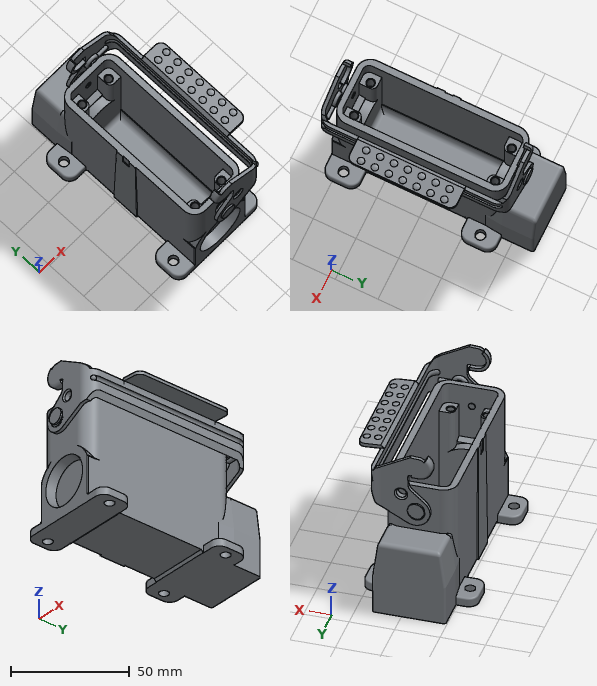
import cadquery as cq
import math

housing_width = 30.7
housing_length = 80.1
housing_height = 57.4
housing_corner_radius = 6.6
wall_side = 3.1
wall_end = 2.7
cavity_corner_radius = 3.0
cavity_floor = 4.0
floor_ledge = 0.3
floor_radius = 2.5
belly_height = 1.3
foot_spread = 45.2
foot_slope = 1.0

foot_width = 50.0
foot_length = 16.2
foot_thickness = 4.1
foot_corner_radius = 4.5
foot_edge_radius = 0.8
foot_hole_diameter = 4.6
foot_hole_x = 20.1
foot_hole_y = 32.0

entry_height = 17.4
entry_mouth_diameter = 24.0
entry_floor_diameter = 22.5
entry_depth = 5.0
entry_boss_radius = 16.0
entry_hump_diameter = 26.0
corner_block_height = 23.0
corner_block_depth = 6.6
corner_bevel = 0.4

block_end = 55.0
block_start = 32.0
block_half_width = 16.2
block_top_half_width = 13.8
block_height = 35.2
block_straight_height = 18.0
block_corner_radius = 1.2
block_edge_radius = 2.0
block_root_inset = 0.8

rib_top_width = 11.0
rib_foot_width = 13.2
rib_top_rise = 0.4
rib_foot_rise = 0.8
rib_notch_width = 3.6
rib_notch_height = 5.5

post_height = 47.6
post_inner_x = 5.7
post_inner_y = 29.8
post_corner_radius = 2.5
post_hole_diameter = 3.3
post_hole_mouth = 4.0
post_hole_depth = 10.0
post_hole_x = 8.0
post_hole_y = 33.0
wall_ramp_length = 3.0
wall_ramp_rise = 1.0

lever_half_length = 44.1
lever_reach = 21.3
sheet = 1.7
bend_radius = 6.0
lever_top = 74.1
strap_bottom = 53.0
strap_top = 63.1
pivot_x = 0.8
pivot_z = 46.9
pivot_eye_radius = 6.8
lower_edge_angle = 27.7
upper_edge_angle = 41.0
plate_peak_x = 2.8
bend_top_z = 67.2
strap_shoulder = (18.2, 65.3)
strap_heel = (18.4, 47.9)

throat_x = 2.2
throat_curve = (3.3, 58.7)
throat_curve_end = (3.6, 60.3)
throat_back = (3.8, 63.8)
throat_relief = (3.4, 64.7)

hook_x = -1.0
hook_z = 69.3
hook_radius = 5.8
hook_lip = 1.5
hook_depth = 3.6
hook_edge_radius = 1.3
hook_start_angle = 125.0
hook_tip_x = 2.2
hook_notch = (-2.4, 73.5)
hook_shoulder = (-1.4, 73.9)

bead_z = 58.5
bead_radius = 2.0
bead_setback = 0.3
bead_wrap_angle = 70.0
groove_radius = 1.3
groove_wrap_angle = 30.0

collar_x = 6.7
collar_z = 54.9
collar_diameter = 7.4
collar_hole_diameter = 4.4
collar_rise = 1.6
collar_edge_radius = 0.8
collar_mouth_bevel = 0.7
tail_end_x = 16.0
tail_height = 1.8
tail_edge_radius = 0.6

pin_z = 47.6
washer_z = 46.6
pin_recess_depth = 0.5
pin_head_diameter = 7.4
pin_neck_diameter = 4.4
pin_washer_diameter = 7.0
pin_tail_diameter = 3.0
pin_tip = 45.0
pin_neck_length = 0.5
pin_tail_projection = 0.4

handle_half_length = 25.1
handle_end = 31.5
handle_root_offset = 0.3
handle_root_top = 64.5
handle_end_top = 63.8
handle_corner_radius = 3.3
dimple_diameter = 3.3
dimple_rise = 0.4
dimple_columns = (24.0, 29.0)
dimple_rows = 7
dimple_pitch = 6.5

half_width = housing_width / 2
half_length = housing_length / 2
cavity_half_width = half_width - wall_side
cavity_half_length = half_length - wall_end
plate_inner = lever_half_length - sheet
bend_center_x = lever_reach - bend_radius
bend_center_y = lever_half_length - bend_radius


def box(x0, x1, y0, y1, z0, z1):
    """Box given by its limits along each axis."""
    return cq.Workplane("XY").box(x1 - x0, y1 - y0, z1 - z0, centered=False).translate((x0, y0, z0))


def rod(x, z, diameter, y0, y1):
    """Cylinder along Y between two Y positions."""
    return cq.Workplane("XZ", origin=(x, y0, z)).circle(diameter / 2).extrude(y0 - y1)


def profile_xz(points, y0, y1):
    """Straight-sided XZ outline extruded along Y."""
    return cq.Workplane("XZ", origin=(0, y0, 0)).polyline(points).close().extrude(y0 - y1)


def polar(x, z, radius, angle):
    """Point on a circle, angle in degrees."""
    a = math.radians(angle)
    return (x + radius * math.cos(a), z + radius * math.sin(a))


def both_ends(solid):
    """A solid together with its mirror image across the XZ plane."""
    return solid.union(solid.mirror("XZ"))


def make_shell():
    """Rounded housing body, solid."""
    return (
        cq.Workplane("XY")
        .rect(housing_width, housing_length)
        .extrude(housing_height)
        .edges("|Z")
        .fillet(housing_corner_radius)
    )


def make_feet():
    """Two cross bars with rounded, drilled ends."""
    bar = (
        cq.Workplane("XY")
        .center(0, half_length - foot_length / 2)
        .rect(foot_width, foot_length)
        .extrude(foot_thickness)
        .edges("|Z")
        .fillet(foot_corner_radius)
        .faces(">Z")
        .edges()
        .fillet(foot_edge_radius)
    )
    middle = box(-half_width, half_width, half_length - foot_length, half_length, 0, foot_thickness)
    return both_ends(bar.union(middle))


def make_entry_boss():
    """Square lower corners and round shoulder around the front cable entry."""
    y0 = -half_length
    y1 = y0 + corner_block_depth
    corners = box(-half_width, half_width, y0, y1, 0, corner_block_height)
    corners = corners.edges("|Z and <Y").chamfer(corner_bevel)
    shoulder = rod(0, entry_height, 2 * entry_boss_radius, y0, y1)
    face_half_width = half_width - corner_bevel
    limits = box(-face_half_width, face_half_width, y0, y1, 0, housing_height)
    return corners.union(shoulder.intersect(limits))


def block_section(y, inset):
    """Cross-section of the rear block at one Y position, with its sides moved inward."""
    bottom_x = block_half_width - inset
    top_x = block_top_half_width - inset
    return cq.Workplane("XZ", origin=(0, y, 0)).polyline(
        [
            (-bottom_x, 0),
            (bottom_x, 0),
            (bottom_x, block_straight_height),
            (top_x, block_height),
            (-top_x, block_height),
            (-bottom_x, block_straight_height),
        ]
    ).close()


def make_rear_block():
    """Rounded block behind the housing, narrowing where it meets the side walls."""
    block = block_section(half_length, 0).extrude(half_length - block_end)
    block = block.faces(">Z").edges("not <Y").fillet(block_edge_radius)
    block = block.edges(">Y").edges("not(#Z)").fillet(block_corner_radius)
    root_wire = block_section(block_start, block_root_inset).wires().val()
    block_wire = block_section(half_length, 0).wires().val()
    root = cq.Workplane(cq.Solid.makeLoft([root_wire, block_wire], True))
    return block.union(root.faces(">Z").edges("not |X").fillet(block_edge_radius))


def make_rib():
    """Drafted rib on the -X wall, with a shallow notch at the rim."""
    foot_plan = cq.Workplane("XY", origin=(-half_width, 0, belly_height))
    rib = (
        foot_plan.rect(2 * rib_foot_rise, rib_foot_width)
        .workplane(offset=housing_height - belly_height)
        .rect(2 * rib_top_rise, rib_top_width)
        .loft()
    )
    notch = box(
        -half_width - rib_foot_rise,
        -half_width,
        -rib_notch_width / 2,
        rib_notch_width / 2,
        housing_height - rib_notch_height,
        housing_height,
    )
    return rib.cut(notch)


def make_cavity():
    """Main pocket with rounded vertical corners, before the inner details are left standing."""
    return (
        cq.Workplane("XY", origin=(0, 0, cavity_floor))
        .rect(2 * cavity_half_width, 2 * cavity_half_length)
        .extrude(housing_height - cavity_floor)
        .edges("|Z")
        .fillet(cavity_corner_radius)
    )


def make_end_fill():
    """Posts, cable entry hump and wall ramp that stand inside the +Y half."""
    wall_y = cavity_half_length
    side_x = cavity_half_width
    fill = rod(0, entry_height, entry_hump_diameter, post_inner_y, wall_y)
    fill = fill.union(box(-side_x, side_x, post_inner_y, wall_y, 0, entry_height))
    hump_top = entry_height + entry_hump_diameter / 2
    ramp = (
        cq.Workplane("YZ", origin=(-post_inner_x, 0, 0))
        .polyline(
            [
                (wall_y, entry_height),
                (wall_y, hump_top + wall_ramp_rise),
                (wall_y - wall_ramp_length, hump_top),
                (wall_y - wall_ramp_length, entry_height),
            ]
        )
        .close()
        .extrude(2 * post_inner_x)
    )
    fill = fill.union(ramp)
    for side in (-1, 1):
        post = (
            cq.Workplane("XY")
            .center(side * (post_inner_x + side_x) / 2, (post_inner_y + wall_y) / 2)
            .rect(side_x - post_inner_x, wall_y - post_inner_y)
            .extrude(post_height)
        )
        inner_edge = "|Z and <Y and " + ("<X" if side > 0 else ">X")
        post = post.edges(inner_edge).fillet(post_corner_radius)
        fill = fill.union(post)
    return fill


def make_floor_border():
    """Rounded border that runs around the cavity floor between the end posts."""
    x = cavity_half_width
    y = post_inner_y
    inner_x = x - floor_ledge
    top = cavity_floor + 2 * floor_radius
    frame = box(-x, x, -y, y, 0, top)
    basin = box(-inner_x, inner_x, -y, y, cavity_floor, top)
    return frame.cut(basin.faces("<Z").edges().fillet(floor_radius))


def make_post_hole(x, y):
    """Blind screw hole with a bevelled mouth."""
    mouth_bevel = (post_hole_mouth - post_hole_diameter) / 2
    top = cq.Workplane("XY", origin=(x, y, post_height))
    hole = top.circle(post_hole_diameter / 2).extrude(-post_hole_depth)
    mouth = (
        top.circle(post_hole_mouth / 2)
        .workplane(offset=-mouth_bevel)
        .circle(post_hole_diameter / 2)
        .loft()
    )
    return hole.union(mouth)


def make_housing():
    """Complete housing with feet, block, rib, cavity and posts."""
    body = make_shell().union(make_entry_boss()).union(make_rear_block()).union(make_rib())
    body = body.union(make_feet())

    belly = (
        cq.Workplane("YZ", origin=(-foot_width / 2, 0, 0))
        .polyline(
            [
                (-foot_spread / 2 - foot_slope, 0),
                (foot_spread / 2 + foot_slope, 0),
                (foot_spread / 2, belly_height),
                (-foot_spread / 2, belly_height),
            ]
        )
        .close()
        .extrude(foot_width)
    )
    body = body.cut(belly)

    cavity = make_cavity().cut(both_ends(make_end_fill())).cut(make_floor_border())
    body = body.cut(cavity)

    for x in (-1, 1):
        for y in (-1, 1):
            body = body.cut(make_post_hole(x * post_hole_x, y * post_hole_y))
            bolt = cq.Workplane("XY", origin=(x * foot_hole_x, y * foot_hole_y, 0))
            body = body.cut(bolt.circle(foot_hole_diameter / 2).extrude(foot_thickness))

    knockout = (
        cq.Workplane("XZ", origin=(0, -half_length, entry_height))
        .circle(entry_mouth_diameter / 2)
        .workplane(offset=-entry_depth)
        .circle(entry_floor_diameter / 2)
        .loft()
    )
    return body.cut(knockout)


def rounded_envelope(inset):
    """Round-cornered block inside the lever bend, open-ended toward -X."""
    depth = 3 * lever_reach
    return (
        cq.Workplane("XY", origin=(lever_reach - inset - depth / 2, 0, 0))
        .rect(depth, 2 * (lever_half_length - inset))
        .extrude(lever_top)
        .edges("|Z and >X")
        .fillet(bend_radius - inset)
    )


def make_lever_profile():
    """Side outline of the lever, extruded over its full length."""
    inner_radius = hook_radius - hook_lip
    lower_start = polar(pivot_x, pivot_z, pivot_eye_radius, lower_edge_angle - 90)
    eye_middle = polar(pivot_x, pivot_z, pivot_eye_radius, (lower_edge_angle + upper_edge_angle) / 2 + 180)
    upper_end = polar(pivot_x, pivot_z, pivot_eye_radius, upper_edge_angle + 90)
    plate_length = bend_center_x - lower_start[0]
    lower_end_z = lower_start[1] + plate_length * math.tan(math.radians(lower_edge_angle))
    throat_z = upper_end[1] + (throat_x - upper_end[0]) * math.tan(math.radians(upper_edge_angle))
    lip_middle_angle = (270 + hook_start_angle) / 2
    return (
        cq.Workplane("XZ", origin=(0, lever_half_length, 0))
        .moveTo(plate_peak_x, lever_top)
        .lineTo(bend_center_x, bend_top_z)
        .lineTo(*strap_shoulder)
        .lineTo(lever_reach - sheet, strap_top)
        .lineTo(lever_reach, strap_top)
        .lineTo(lever_reach, strap_bottom)
        .lineTo(*strap_heel)
        .lineTo(bend_center_x, lower_end_z)
        .lineTo(*lower_start)
        .threePointArc(eye_middle, upper_end)
        .lineTo(throat_x, throat_z)
        .threePointArc(throat_curve, throat_curve_end)
        .lineTo(*throat_back)
        .threePointArc(throat_relief, (hook_tip_x, hook_z - inner_radius))
        .lineTo(hook_x, hook_z - inner_radius)
        .threePointArc(
            polar(hook_x, hook_z, inner_radius, lip_middle_angle),
            polar(hook_x, hook_z, inner_radius, hook_start_angle),
        )
        .threePointArc(hook_notch, hook_shoulder)
        .close()
        .extrude(2 * lever_half_length)
    )


def make_hook_lip():
    """Inward-bent rim of the hook on the +Y plate, rounded at the outside."""
    y0 = lever_half_length - hook_depth
    inner_radius = hook_radius - hook_lip
    disc = rod(hook_x, hook_z, 2 * hook_radius, y0, lever_half_length)
    disc = disc.faces(">Y").edges().fillet(hook_edge_radius)
    disc = disc.cut(rod(hook_x, hook_z, 2 * inner_radius, y0, lever_half_length))
    reach = 2 * hook_radius
    sector = profile_xz(
        [
            (hook_x, hook_z),
            polar(hook_x, hook_z, reach, hook_start_angle),
            (hook_x - reach, hook_z),
            (hook_x - reach, hook_z - reach),
            (hook_x, hook_z - reach),
        ],
        y0,
        lever_half_length,
    )
    tip = box(hook_x, hook_tip_x, y0, lever_half_length, hook_z - hook_radius, hook_z - inner_radius)
    tip = tip.edges("|X and >Y and <Z").fillet(hook_edge_radius)
    return disc.intersect(sector).union(tip)


def bead_parts(radius, wrap_angle):
    """Pieces of a round bar along the strap that follows both bends part of the way."""
    x = lever_reach - bead_setback
    arm = x - bend_center_x
    bend = (
        cq.Workplane("XZ", origin=(x, bend_center_y, bead_z))
        .circle(radius)
        .revolve(wrap_angle, (-arm, 0, 0), (-arm, 1, 0))
    )
    tip_x, tip_y = polar(bend_center_x, bend_center_y, arm, wrap_angle)
    tip = cq.Workplane("XY").sphere(radius).translate((tip_x, tip_y, bead_z))
    return [
        rod(x, bead_z, 2 * radius, -bend_center_y, bend_center_y),
        bend,
        bend.mirror("XZ"),
        tip,
        tip.mirror("XZ"),
    ]


def make_collar():
    """Rounded collar and its straight tail on the inner face of the +Y plate."""
    y0 = plate_inner - collar_rise
    collar = rod(collar_x, collar_z, collar_diameter, y0, plate_inner)
    collar = collar.faces("<Y").edges().fillet(collar_edge_radius)
    tail = box(
        collar_x,
        tail_end_x,
        y0,
        plate_inner,
        collar_z - tail_height / 2,
        collar_z + tail_height / 2,
    )
    return collar.union(tail.edges("|X and <Y").fillet(tail_edge_radius))


def make_collar_hole():
    """Through hole of the collar, opened out at the outer face of the +Y plate."""
    hole = rod(collar_x, collar_z, collar_hole_diameter, half_length, lever_half_length)
    mouth = (
        cq.Workplane("XZ", origin=(collar_x, lever_half_length, collar_z))
        .circle(collar_hole_diameter / 2 + collar_mouth_bevel)
        .workplane(offset=collar_mouth_bevel)
        .circle(collar_hole_diameter / 2)
        .loft()
    )
    return hole.union(mouth)


def make_pin_recess():
    """Shallow round recess under the pin head, in the outer face of the +Y plate."""
    y0 = lever_half_length - pin_recess_depth
    return rod(0, washer_z, pin_head_diameter, y0, lever_half_length)


def make_handle():
    """Handle bent outward from the strap, with rows of domed dimples."""
    strap_inner = lever_reach - sheet
    handle = profile_xz(
        [
            (strap_inner, strap_top - sheet),
            (lever_reach, strap_top - sheet),
            (lever_reach + handle_root_offset, handle_root_top - sheet),
            (handle_end, handle_end_top - sheet),
            (handle_end, handle_end_top),
            (lever_reach, handle_root_top),
            (strap_inner, strap_top),
        ],
        -handle_half_length,
        handle_half_length,
    )
    handle = handle.edges("|Z and >X").fillet(handle_corner_radius)

    slope = (handle_end_top - handle_root_top) / (handle_end - lever_reach)
    dome_radius = ((dimple_diameter / 2) ** 2 + dimple_rise**2) / (2 * dimple_rise)
    dome = cq.Workplane("XY").sphere(dome_radius).translate((0, 0, dimple_rise - dome_radius))
    dome = dome.intersect(cq.Workplane("XY").circle(dimple_diameter / 2).extrude(2 * dimple_rise, both=True))
    for x in dimple_columns:
        z = handle_root_top + slope * (x - lever_reach)
        for row in range(dimple_rows):
            y = (row - (dimple_rows - 1) / 2) * dimple_pitch
            handle = handle.union(dome.translate((x, y, z)))
    return handle


def make_lever():
    """Sheet-metal locking lever: two plates, strap, hooks, bead, collars and handle."""
    envelope = rounded_envelope(0)
    sheet_body = envelope.cut(rounded_envelope(sheet)).intersect(make_lever_profile())
    lever = sheet_body.union(both_ends(make_hook_lip())).union(both_ends(make_collar()))
    for part in bead_parts(bead_radius, bead_wrap_angle):
        lever = lever.union(part)
    lever = lever.intersect(envelope)
    for part in bead_parts(groove_radius, groove_wrap_angle):
        lever = lever.cut(part)
    lever = lever.cut(both_ends(make_collar_hole())).cut(both_ends(make_pin_recess()))
    return lever.union(make_handle())


def make_pin():
    """Stepped pivot pin through the +Y wall and lever plate."""
    neck_end = half_length + pin_neck_length
    pin = rod(0, pin_z, pin_tail_diameter, cavity_half_length - pin_tail_projection, half_length)
    pin = pin.union(rod(0, pin_z, pin_neck_diameter, half_length, pin_tip))
    pin = pin.union(rod(0, washer_z, pin_washer_diameter, neck_end, plate_inner))
    return pin.union(rod(0, pin_z, pin_head_diameter, lever_half_length, pin_tip))


result = make_housing().union(make_lever()).union(both_ends(make_pin()))